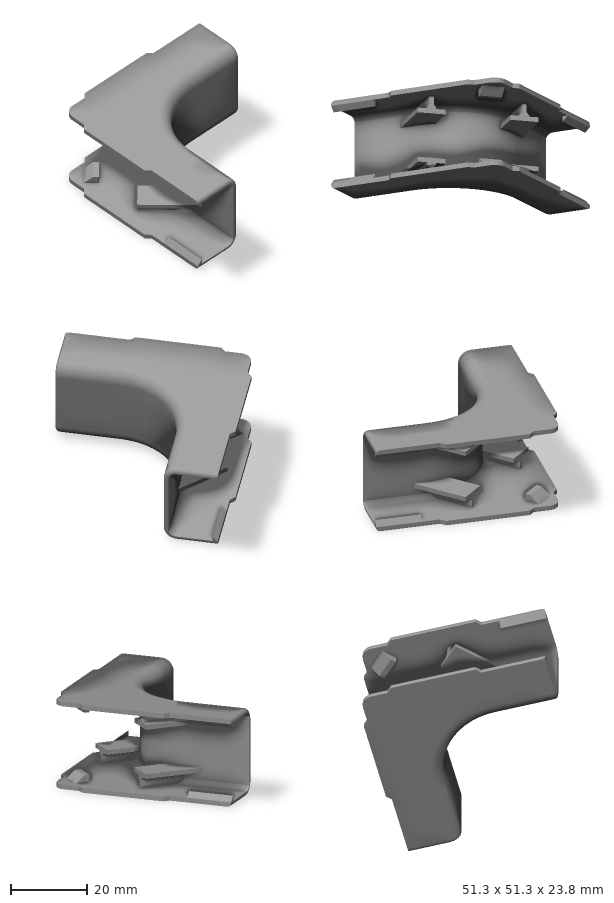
import cadquery as cq
import math

length = 51.3
height = 23.8
half_height = height / 2

plate_thickness = 1.3
wall_thickness = 1.5
leg_edge = 1.3
wall_outside = 15.8
bend_center = 34.0
long_edge_radius = 3.5
end_edge_radius = 1.05
corner_radius = 3.0

pad_start = 8.65
pad_end = bend_center

ridge_start = 38.9
ridge_height = 1.45

block_distance = 6.8
block_width = 6.0
block_height = 2.1
block_slope = 2.55
block_top = 1.5

rib_distance = 21.1
rib_offset = 12.65
web_width = 1.2
bead_radius = 1.25
flange_width = 7.65
flange_bottom = 4.55
flange_top = 5.85

wall_inside = wall_outside - wall_thickness
floor_level = plate_thickness - half_height
root_level = floor_level - plate_thickness / 2
sin_45 = math.sin(math.radians(45))


def with_leg_mirror(shape):
    """Add the copy mirrored in the plane x = y."""
    return shape.union(shape.mirror((1, -1, 0)))


def with_plate_mirror(shape):
    """Add the copy mirrored in the plane z = 0."""
    return shape.union(shape.mirror("XY"))


def elbow(outer_edge, inner_edge, end, depth):
    """L-shaped prism whose inside corner is an arc about the bend axis."""
    arc_middle = bend_center - (bend_center - inner_edge) * sin_45
    return (
        cq.Workplane("XY")
        .moveTo(outer_edge, outer_edge)
        .lineTo(end, outer_edge)
        .lineTo(end, inner_edge)
        .lineTo(bend_center, inner_edge)
        .threePointArc((arc_middle, arc_middle), (inner_edge, bend_center))
        .lineTo(inner_edge, end)
        .lineTo(outer_edge, end)
        .close()
        .extrude(depth / 2, both=True)
    )


def make_pads():
    pad = (
        cq.Workplane("XY")
        .moveTo(pad_start, leg_edge)
        .lineTo(pad_start + leg_edge, 0)
        .lineTo(pad_end - leg_edge, 0)
        .lineTo(pad_end, leg_edge)
        .close()
        .extrude(half_height, both=True)
    )
    return with_leg_mirror(pad)


def make_envelope():
    """Solid outer shape, before it is hollowed."""
    body = elbow(leg_edge, wall_outside, length, height)
    body = body.edges("%CIRCLE").fillet(long_edge_radius)
    body = body.faces(">X").edges("not <Y").fillet(end_edge_radius)
    body = body.faces(">Y").edges("not <X").fillet(end_edge_radius)
    body = body.edges("|Z and <X and <Y").fillet(corner_radius)
    return body.union(make_pads())


def make_cavity():
    """Space between the plates, open at the leg ends and along the outer edges."""
    clearance = 0.5
    outer_edge = -clearance
    end = length + clearance
    depth = -2 * floor_level
    shell = elbow(outer_edge, wall_outside - plate_thickness, end, depth)
    shell = shell.edges("%CIRCLE").fillet(long_edge_radius - plate_thickness)
    return shell.intersect(elbow(outer_edge, wall_inside, end, depth))


def make_ridges():
    ridge = (
        cq.Workplane("YZ", origin=(ridge_start, 0, 0))
        .moveTo(leg_edge, root_level)
        .lineTo(leg_edge, floor_level)
        .lineTo(leg_edge + ridge_height, floor_level + ridge_height)
        .lineTo(leg_edge + ridge_height, root_level)
        .close()
        .extrude(length - ridge_start)
    )
    return with_leg_mirror(ridge)


def make_block():
    slope_end = block_distance + block_slope
    back = slope_end + block_top
    top_level = floor_level + block_height
    diagonal_plane = cq.Plane(origin=(0, 0, 0), xDir=(1, 1, 0), normal=(1, -1, 0))
    return (
        cq.Workplane(diagonal_plane)
        .moveTo(block_distance, root_level)
        .lineTo(block_distance, floor_level)
        .lineTo(slope_end, top_level)
        .lineTo(back, top_level)
        .lineTo(back, root_level)
        .close()
        .extrude(block_width / 2, both=True)
    )


def make_ribs():
    bottom_level = flange_bottom - half_height
    top_level = flange_top - half_height
    web_level = bottom_level - math.sqrt(bead_radius**2 - (web_width / 2) ** 2)
    bead_middle = (bead_radius * sin_45, bottom_level - bead_radius * sin_45)
    end_face = cq.Plane(
        origin=(rib_distance * sin_45, rib_distance * sin_45, 0),
        xDir=(-1, 1, 0),
        normal=(1, 1, 0),
    )
    rib_length = length / 2
    half_rib = (
        cq.Workplane(end_face)
        .moveTo(0, root_level)
        .lineTo(web_width / 2, root_level)
        .lineTo(web_width / 2, web_level)
        .threePointArc(bead_middle, (bead_radius, bottom_level))
        .lineTo(flange_width / 2, bottom_level)
        .lineTo(flange_width / 2, top_level)
        .lineTo(0, top_level)
        .close()
        .extrude(rib_length)
    )
    rib = with_leg_mirror(half_rib).translate((-rib_offset * sin_45, rib_offset * sin_45, 0))
    return with_leg_mirror(rib)


envelope = make_envelope()
plate_features = make_ridges().union(make_block()).union(make_ribs())
inserts = with_plate_mirror(plate_features).intersect(envelope)

result = envelope.cut(make_cavity()).union(inserts)